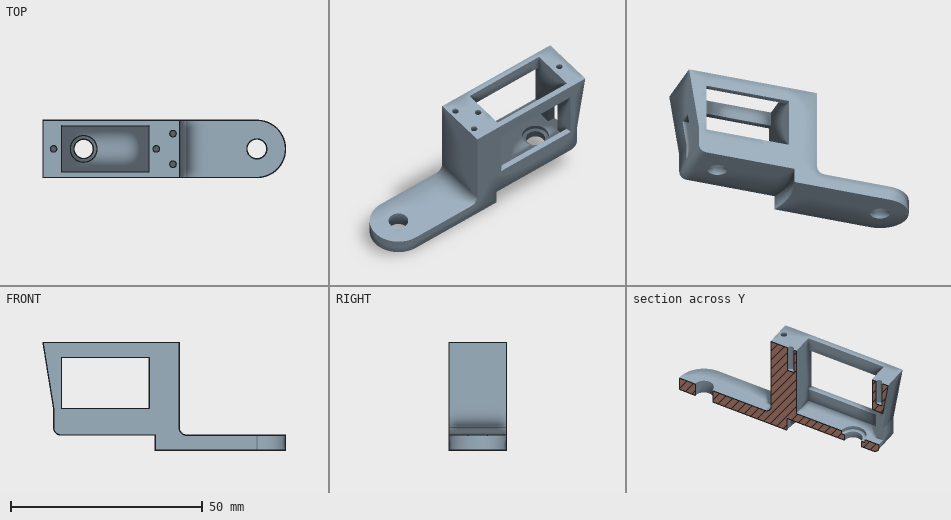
import cadquery as cq

length = 63.4
width = 15.0
height = 28.2

tongue_thickness = 4.0
tongue_start = 29.3
tongue_hollow_radius = 20.0
tongue_hole_diameter = 5.15
tongue_end_radius = width / 2

floor_thickness = 3.0
edge_radius = 1.95
wall_base_x = 2.8
wall_inner_x = 4.9
block_start = 27.8
block_end = 35.6
rail_height = 4.0
rail_thickness = 1.5
floor_top = tongue_thickness + floor_thickness
lower_rail_top = floor_top + rail_height
upper_rail_bottom = height - rail_height

cable_slot_width = 4.0
cable_slot_height = 11.0
floor_hole_x = 10.65
floor_hole_diameter = 5.0
counterbore_diameter = 7.0
counterbore_depth = 1.0

screw_diameter = 1.7
screw_depth = 7.6
inner_screw_x = 29.6
outer_screw_x = 34.0
outer_screw_y = 4.0


def box(x_start, x_end, y_size, z_start, z_end):
    """Box spanning the given X and Z ranges, centred on Y = 0."""
    size = (x_end - x_start, y_size, z_end - z_start)
    return cq.Workplane("XY").box(*size, centered=(False, True, False)).translate((x_start, 0, z_start))


def drill(x, y, top, depth, diameter):
    """Vertical cylinder reaching down from the given top height."""
    return cq.Workplane("XY").center(x, y).circle(diameter / 2).extrude(-depth).translate((0, 0, top))


def make_cage():
    """Servo cage with a tapered end wall, a rounded lower edge and a flare onto the tongue."""
    profile = (
        cq.Workplane("XZ")
        .moveTo(0, height)
        .lineTo(wall_base_x, lower_rail_top)
        .lineTo(wall_base_x, tongue_thickness + edge_radius)
        .radiusArc((wall_base_x + edge_radius, tongue_thickness), -edge_radius)
        .lineTo(block_end + edge_radius, tongue_thickness)
        .radiusArc((block_end, tongue_thickness + edge_radius), edge_radius)
        .lineTo(block_end, height)
        .close()
    )
    cage = profile.extrude(width / 2, both=True)
    cavity = box(wall_inner_x, block_start, width - 2 * rail_thickness, floor_top, height)
    side_windows = box(wall_inner_x, block_start, width, lower_rail_top, upper_rail_bottom)
    return cage.cut(cavity).cut(side_windows)


def make_tongue():
    """Flat tongue with a full-round outer end, a pivot hole and a hollow inner end."""
    end_centre_x = length - tongue_end_radius
    straight = (
        cq.Workplane("XY")
        .moveTo(tongue_start, -width / 2)
        .lineTo(end_centre_x, -width / 2)
        .lineTo(end_centre_x, width / 2)
        .lineTo(tongue_start, width / 2)
        .radiusArc((tongue_start, -width / 2), tongue_hollow_radius)
        .close()
        .extrude(tongue_thickness)
    )
    round_end = drill(end_centre_x, 0, tongue_thickness, tongue_thickness, width)
    pivot_hole = drill(end_centre_x, 0, tongue_thickness, tongue_thickness, tongue_hole_diameter)
    return straight.union(round_end).cut(pivot_hole)


result = make_cage().union(make_tongue())

result = result.cut(box(0, wall_inner_x, cable_slot_width, floor_top, floor_top + cable_slot_height))

result = result.cut(drill(floor_hole_x, 0, floor_top, floor_thickness, floor_hole_diameter))
result = result.cut(drill(floor_hole_x, 0, floor_top, counterbore_depth, counterbore_diameter))

screw_positions = [
    (wall_base_x, 0),
    (inner_screw_x, 0),
    (outer_screw_x, outer_screw_y),
    (outer_screw_x, -outer_screw_y),
]
for screw_x, screw_y in screw_positions:
    result = result.cut(drill(screw_x, screw_y, height, screw_depth, screw_diameter))